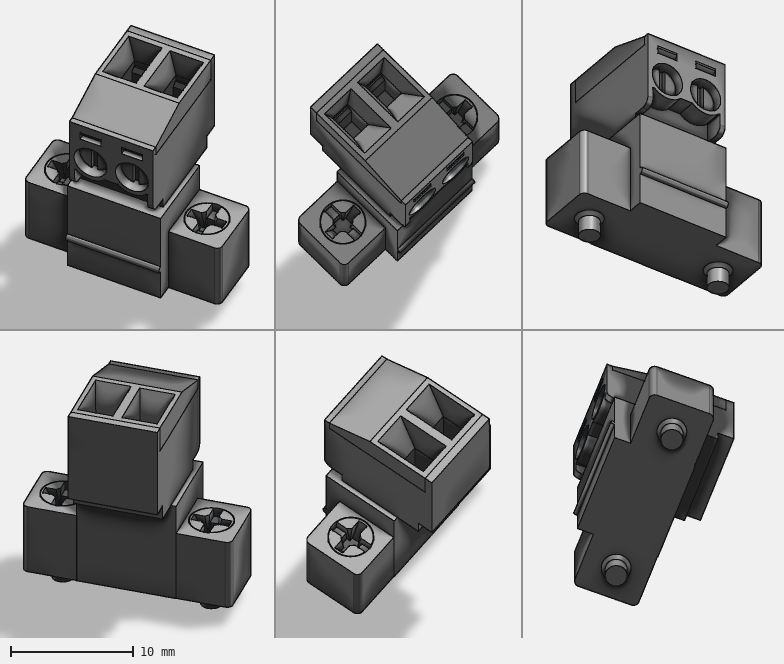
import cadquery as cq

pole_xs = (-1.9, 1.9)
flange_screw_xs = (-6.4, 6.4)
length = 18
top_z = 20
base_z = 1.72

head_width = 7.68
head_back_y = 6.4
head_front_y = -4.7
heel_y = 5
heel_z = 12
toe_y = -2.9
toe_z = 11.6
toe_radius = 0.75

block_width = 8.55
block_back_y = 2.85
block_front_y = -4.2
block_top_z = 10.7
ridge_radius = 0.32
ridge_z = 4.95

flange_depth = 5.6
flange_top_z = 8.05
flange_corner_radius = 0.5

cover_back_y = 5.7
cover_front_y = block_front_y
cover_bottom_z = 17.75
bevel_start_y = 0
bevel_end_z = 18.6

window_width = 1.92
window_bottom_z = 17.05
tab_lip = 0.18
tab_slope = cover_bottom_z - tab_lip - window_bottom_z
tab_back_y = head_front_y + tab_slope

funnel_top_width = 3.05
funnel_top_front_y = 0.5
funnel_top_back_y = 5.18
well_width = 1.7
well_front_y = 2.48
well_back_y = 4.92
well_floor_z = 13.2

contact_thickness = 0.5
contact_chamfer = 0.35
contact_top_z = 17.2
clamp_thickness = 0.6

screw_z = 14.78
screw_hole_diameter = 3
screw_head_diameter = 2.9
screw_head_fillet = 0.22
screw_head_front_y = -3.95
screw_head_back_y = -1.8
screw_slot_width = 0.58
screw_slot_depth = 0.48
screw_shank_diameter = 1.45
screw_tip_y = 2.65

relief_width = 6.68
relief_top_z = 13.4
boss_diameter = 3.8

flange_hole_diameter = 3.75
flange_head_diameter = 3.65
flange_head_height = 2
flange_shank_diameter = 2.45
flange_point_diameter = 1.8
flange_slot_width = 0.82
flange_slot_depth = 0.8
cross_depth = 1.6
cross_bottom_reach = 0.75
wide_arm_reach = 1.62
narrow_arm_reach = 0.88
core_top_reach = 1.15
core_bottom_reach = 0.82


def block(x_min, x_max, y_min, y_max, z_min, z_max):
    """Box between the given coordinates."""
    size = (x_max - x_min, y_max - y_min, z_max - z_min)
    return cq.Workplane("XY").box(*size, centered=False).translate((x_min, y_min, z_min))


def centred_block(x, width, y_min, y_max, z_min, z_max):
    """Box of the given X width centred on x."""
    return block(x - width / 2, x + width / 2, y_min, y_max, z_min, z_max)


def side_profile(points, width, x=0):
    """Prism with a (Y, Z) outline, centred on x."""
    return cq.Workplane("YZ", origin=(x - width / 2, 0, 0)).polyline(points).close().extrude(width)


def rod_along_y(x, diameter, y_min, y_max):
    """Cylinder on a terminal screw axis."""
    return (
        cq.Workplane("XZ", origin=(x, y_min, screw_z))
        .circle(diameter / 2)
        .extrude(y_min - y_max)
    )


def rod_along_z(x, diameter, z_min, z_max):
    """Cylinder on a flange screw axis."""
    return cq.Workplane("XY", origin=(x, 0, z_min)).circle(diameter / 2).extrude(z_max - z_min)


def wire_well(x):
    return centred_block(x, well_width, well_front_y, well_back_y, well_floor_z, cover_bottom_z)


def wire_funnel(x):
    """Tapered opening through the cover, narrowing down to the wire well."""
    mouth_depth = funnel_top_back_y - funnel_top_front_y
    mouth_y = (funnel_top_back_y + funnel_top_front_y) / 2
    well_y = (well_back_y + well_front_y) / 2
    return (
        cq.Workplane("XY", origin=(x, mouth_y, top_z))
        .rect(funnel_top_width, mouth_depth)
        .workplane(offset=cover_bottom_z - top_z)
        .center(0, well_y - mouth_y)
        .rect(well_width, well_back_y - well_front_y)
        .loft(ruled=True)
    )


def cover_blank():
    """Cover without its wire openings; it fills the notch in the top of the housing."""
    outline = [
        (cover_back_y, cover_bottom_z),
        (cover_back_y, top_z),
        (bevel_start_y, top_z),
        (cover_front_y, bevel_end_z),
        (cover_front_y, cover_bottom_z),
    ]
    return side_profile(outline, head_width)


def snap_tab(x):
    """Tab under the cover with a 45 degree lead-in below a short lip."""
    outline = [
        (head_front_y, cover_bottom_z),
        (head_front_y, cover_bottom_z - tab_lip),
        (tab_back_y, window_bottom_z),
        (tab_back_y, cover_bottom_z),
    ]
    return side_profile(outline, window_width, x)


def make_cover():
    cover = cover_blank()
    for x in pole_xs:
        cover = cover.cut(wire_funnel(x)).union(snap_tab(x))
    return cover


def plug_head():
    outline = [
        (head_back_y, top_z),
        (head_back_y, heel_z),
        (heel_y, heel_z),
        (heel_y, block_top_z),
        (toe_y, block_top_z),
        (toe_y, toe_z),
        (head_front_y, toe_z),
        (head_front_y, bevel_end_z),
        (cover_front_y, bevel_end_z),
        (cover_front_y, cover_bottom_z),
        (cover_back_y, cover_bottom_z),
        (cover_back_y, top_z),
    ]
    toe_edge = cq.selectors.NearestToPointSelector((0, head_front_y, toe_z))
    return side_profile(outline, head_width).edges(toe_edge).fillet(toe_radius)


def front_relief():
    """Recess between the two toes, scalloped around the screw bosses."""
    relief = centred_block(0, relief_width, head_front_y, toe_y, toe_z, relief_top_z)
    for x in pole_xs:
        relief = relief.cut(rod_along_y(x, boss_diameter, head_front_y, toe_y))
    return relief


def socket_block():
    body = centred_block(0, block_width, block_front_y, block_back_y, base_z, block_top_z)
    ridge = (
        cq.Workplane("YZ", origin=(-block_width / 2, block_front_y, ridge_z))
        .circle(ridge_radius)
        .extrude(block_width)
    )
    return body.union(ridge)


def flange_bar():
    bar = centred_block(0, length, -flange_depth / 2, flange_depth / 2, base_z, flange_top_z)
    return bar.edges("|Z").fillet(flange_corner_radius)


def make_housing():
    housing = plug_head().union(socket_block()).union(flange_bar()).cut(front_relief())
    for x in pole_xs:
        window = centred_block(
            x, window_width, head_front_y, tab_back_y, window_bottom_z, cover_bottom_z
        )
        screw_hole = rod_along_y(x, screw_hole_diameter, head_front_y, screw_head_back_y)
        shank_hole = rod_along_y(x, screw_shank_diameter, screw_head_back_y, screw_tip_y)
        housing = housing.cut(window).cut(wire_well(x)).cut(screw_hole).cut(shank_hole)
    head_seat_z = flange_top_z - flange_head_height
    for x in flange_screw_xs:
        head_hole = rod_along_z(x, flange_hole_diameter, head_seat_z, flange_top_z)
        shank_hole = rod_along_z(x, flange_shank_diameter, base_z, head_seat_z)
        housing = housing.cut(head_hole).cut(shank_hole)
    return housing


def make_contact(x):
    """Upright plate on the back wall of a wire well, with a 45 degree lead-in at its top."""
    contact_front_y = well_back_y - contact_thickness
    outline = [
        (well_back_y, well_floor_z),
        (well_back_y, contact_top_z),
        (contact_front_y + contact_chamfer, contact_top_z),
        (contact_front_y, contact_top_z - contact_chamfer),
        (contact_front_y, well_floor_z),
    ]
    return side_profile(outline, well_width, x)


def make_clamp(x):
    """Flat plate on the floor of a wire well, in front of the contact."""
    clamp_back_y = well_back_y - contact_thickness
    clamp_top_z = well_floor_z + clamp_thickness
    return centred_block(x, well_width, well_front_y, clamp_back_y, well_floor_z, clamp_top_z)


def make_terminal_screw(x):
    """Slotted screw pointing along +Y."""
    head = rod_along_y(x, screw_head_diameter, screw_head_front_y, screw_head_back_y)
    head = head.faces("<Y").edges().fillet(screw_head_fillet)
    shank = rod_along_y(x, screw_shank_diameter, screw_head_back_y, screw_tip_y)
    slot = centred_block(
        x,
        screw_slot_width,
        screw_head_front_y,
        screw_head_front_y + screw_slot_depth,
        screw_z - screw_head_diameter / 2,
        screw_z + screw_head_diameter / 2,
    )
    return head.union(shank).cut(slot)


def sloped_arms(top_reach):
    """Pair of opposite recess arms along X whose ends slope in towards the recess floor."""
    floor_z = flange_top_z - cross_depth
    outline = [
        (-top_reach, flange_top_z),
        (top_reach, flange_top_z),
        (cross_bottom_reach, floor_z),
        (-cross_bottom_reach, floor_z),
    ]
    arms = cq.Workplane("XZ").polyline(outline).close()
    return arms.extrude(flange_slot_width / 2, both=True)


def cross_recess(x):
    """Driver recess: a straight slot along Y, two pairs of sloped arms and a tapered square core."""
    slot = centred_block(
        0,
        flange_slot_width,
        -flange_head_diameter / 2,
        flange_head_diameter / 2,
        flange_top_z - flange_slot_depth,
        flange_top_z,
    )
    wide_arms = sloped_arms(wide_arm_reach)
    narrow_arms = sloped_arms(narrow_arm_reach).rotate((0, 0, 0), (0, 0, 1), 90)
    core = (
        cq.Workplane("XY", origin=(0, 0, flange_top_z))
        .polygon(4, 2 * core_top_reach)
        .workplane(offset=-cross_depth)
        .polygon(4, 2 * core_bottom_reach)
        .loft(ruled=True)
    )
    core_limit = cq.Workplane("XY").box(2 * cross_bottom_reach, 2 * cross_bottom_reach, 2 * top_z)
    core = core.intersect(core_limit)
    return slot.union(wide_arms).union(narrow_arms).union(core).translate((x, 0, 0))


def make_flange_screw(x):
    """Cross-recess screw pointing down, with a narrower point below the flange."""
    cone_height = (flange_shank_diameter - flange_point_diameter) / 2
    head_seat_z = flange_top_z - flange_head_height
    outline = [
        (0, 0),
        (flange_point_diameter / 2, 0),
        (flange_point_diameter / 2, base_z - cone_height),
        (flange_shank_diameter / 2, base_z),
        (flange_shank_diameter / 2, head_seat_z),
        (flange_head_diameter / 2, head_seat_z),
        (flange_head_diameter / 2, flange_top_z),
        (0, flange_top_z),
    ]
    screw = cq.Workplane("XZ").polyline(outline).close().revolve(360, (0, 0, 0), (0, 1, 0))
    return screw.translate((x, 0, 0)).cut(cross_recess(x))


housing = make_housing()
cover = make_cover()
contacts = [make_contact(x).val() for x in pole_xs]
clamps = [make_clamp(x).val() for x in pole_xs]
terminal_screws = [make_terminal_screw(x).val() for x in pole_xs]
flange_screws = [make_flange_screw(x).val() for x in flange_screw_xs]

result = cq.Compound.makeCompound(
    [housing.val(), cover.val(), *contacts, *clamps, *terminal_screws, *flange_screws]
)